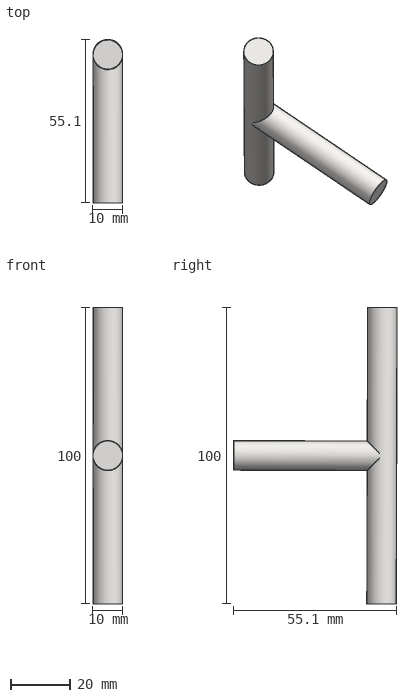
import cadquery as cq
import math

overall_height = 100.0
rod_diameter = 10.0
branch_reach = 50.0
tilt_degrees = 0.15

tilt = math.radians(tilt_degrees)
rod_length = (overall_height - rod_diameter * math.sin(tilt)) / math.cos(tilt)


def rod(plane, length, both_ways=False):
    """Round bar along the plane's normal, or half as long each way if both_ways."""
    extent = length / 2 if both_ways else length
    return cq.Workplane(plane).circle(rod_diameter / 2).extrude(extent, both=both_ways)


main_rod = rod("XY", rod_length, both_ways=True)

branch = rod("XZ", branch_reach)

result = main_rod.union(branch).rotate((0, 0, 0), (1, 0, 0), -tilt_degrees)